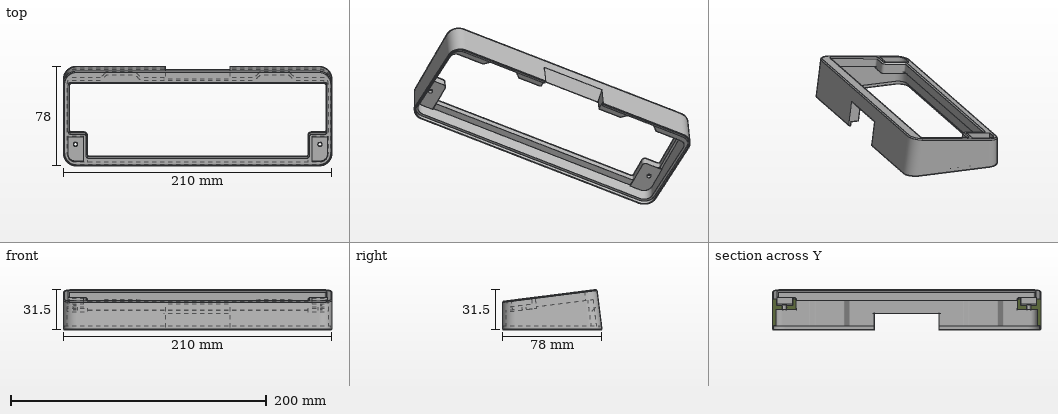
import cadquery as cq
import math

LENGTH = 210.0
DEPTH = 78.0
HEIGHT = 31.5
TILT = 7.2
CORNER_RADIUS = 10.0
TOP_CHAMFER = 0.95
BOTTOM_CHAMFER = 0.6

SIDE_WALL = 3.0
REAR_WALL = 8.2
CAVITY_REAR_RADIUS = 5.0
RIM_THICKNESS = 7.5

REBATE_HEIGHT = 3.2
REBATE_LIP = 1.0
REBATE_REAR_LIP = 2.0

OPENING_LENGTH = 200.4
OPENING_REAR = 9.9
OPENING_FRONT = 67.6
OPENING_RADIUS = 1.3
OPENING_CHAMFER = 1.0

PAD_INNER_X = 86.3
PAD_REAR = 48.7
PAD_THICKNESS = 8.8
PAD_RADIUS = 2.5
TRAY_OUTER_X = 101.5
TRAY_INNER_X = 89.3
TRAY_REAR = 51.7
TRAY_FRONT = 71.2
TRAY_DEPTH = 5.0
TRAY_RADIUS = 5.3
SCREW_X = 95.5
SCREW_REAR = 58.4
SCREW_DIAMETER = 3.2

NOTCH_WIDTH = 50.5
NOTCH_INNER_HEIGHT = 12.5
NOTCH_OUTER_HEIGHT = 20.2
RECESS_CENTRE_X = 60.0
RECESS_WIDTH = 31.0
RECESS_DEPTH = 4.2
REAR_EDGE_RADIUS = 1.0

TOUCHING = 0.02
REACH = 126.0
tilt = math.radians(TILT)
front_y = -DEPTH / 2
rear_y = DEPTH / 2

sharp_rear_y = rear_y + BOTTOM_CHAMFER * math.tan(tilt)
edge_z = HEIGHT + TOP_CHAMFER * math.sin(tilt)
edge_y = sharp_rear_y - edge_z * math.tan(tilt)
top_frame = cq.Plane(
    origin=(0, edge_y, edge_z),
    xDir=(1, 0, 0),
    normal=(0, -math.sin(tilt), math.cos(tilt)),
)
square_to_top = cq.selectors.ParallelDirSelector(top_frame.zDir)
top_face = cq.selectors.DirectionMinMaxSelector(top_frame.zDir)


def block(plane, x_range, y_range, height):
    """Box raised (or sunk, if height is negative) on a plane between two X and two Y values."""
    x0, x1 = x_range
    y0, y1 = y_range
    sketch = cq.Workplane(plane).center((x0 + x1) / 2, (y0 + y1) / 2)
    return sketch.rect(abs(x1 - x0), abs(y1 - y0)).extrude(height)


def leaning_body(side, rear, front_radius, rear_radius, top_depth):
    """Body shape with its walls inset, from top_depth below the top down to Z = 0."""
    sides = (side - LENGTH / 2, LENGTH / 2 - side)
    upright = block(cq.Plane.XY(), sides, (front_y + side, REACH), REACH)
    upright = upright.edges("|Z and <Y").fillet(front_radius)
    leaning = block(top_frame, sides, (-REACH, -rear), -REACH)
    leaning = leaning.edges(square_to_top).edges(">Y").fillet(rear_radius)
    leaning = leaning.translate(top_frame.zDir * -top_depth)
    return upright.intersect(leaning)


def make_outside():
    outside = leaning_body(0, 0, CORNER_RADIUS, CORNER_RADIUS, 0)
    outside = outside.faces(top_face).edges().chamfer(TOP_CHAMFER)
    return outside.faces("<Z").edges().chamfer(BOTTOM_CHAMFER)


def make_cavity():
    """Hollow under the rim, leaving the thicker pads standing in the front corners."""
    front_radius = CORNER_RADIUS - SIDE_WALL
    cavity = leaning_body(SIDE_WALL, REAR_WALL, front_radius, CAVITY_REAR_RADIUS, RIM_THICKNESS)
    for side in (-1, 1):
        pad_x = (side * PAD_INNER_X, side * REACH)
        cavity = cavity.cut(block(top_frame, pad_x, (-REACH, -PAD_REAR), -PAD_THICKNESS))
    return cavity


def make_rebate():
    radius = CORNER_RADIUS - REBATE_LIP
    rebate = leaning_body(REBATE_LIP, REBATE_REAR_LIP, radius, radius, RIM_THICKNESS)
    return rebate.intersect(block(cq.Plane.XY(), (-REACH, REACH), (-REACH, REACH), REBATE_HEIGHT))


def make_opening():
    """Opening through the rim, stepped around the pads, with a chamfer around its top edge."""
    half = OPENING_LENGTH / 2
    depth = 2 * PAD_THICKNESS
    wide = block(top_frame, (-half, half), (-PAD_REAR, -OPENING_REAR), -depth)
    narrow = block(top_frame, (-PAD_INNER_X, PAD_INNER_X), (-OPENING_FRONT, -OPENING_REAR), -depth)
    wide = wide.edges(square_to_top).fillet(OPENING_RADIUS)
    narrow = narrow.edges(square_to_top).edges("<Y").fillet(OPENING_RADIUS)
    opening = wide.union(narrow)
    pad_corners = (
        opening.edges(square_to_top)
        .filter(lambda edge: abs(abs(edge.Center().x) - PAD_INNER_X) < TOUCHING)
        .edges(">Y")
    )
    opening = pad_corners.fillet(PAD_RADIUS)
    outline = opening.faces(top_face).wires().toPending()
    bevel = outline.offset2D(OPENING_CHAMFER).extrude(-OPENING_CHAMFER, combine=False, taper=45)
    return opening.union(bevel)


def make_tray(side):
    """Sunken tray with its screw hole; side is -1 for the left pad and 1 for the right."""
    tray_x = (side * TRAY_INNER_X, side * TRAY_OUTER_X)
    tray = block(top_frame, tray_x, (-TRAY_FRONT, -TRAY_REAR), -TRAY_DEPTH)
    outer_edge = ">X" if side > 0 else "<X"
    tray = tray.edges(square_to_top).edges("<Y").edges(outer_edge).fillet(TRAY_RADIUS)
    screw = cq.Workplane(top_frame).center(side * SCREW_X, -SCREW_REAR)
    return tray.union(screw.circle(SCREW_DIAMETER / 2).extrude(-2 * PAD_THICKNESS))


def make_notch():
    """Cable notch through the foot of the rear wall, its roof rising outwards."""
    inner_y = sharp_rear_y - REAR_WALL / math.cos(tilt) - NOTCH_INNER_HEIGHT * math.tan(tilt)
    outer_y = sharp_rear_y - NOTCH_OUTER_HEIGHT * math.tan(tilt)
    return (
        cq.Workplane("YZ")
        .moveTo(0, 0)
        .lineTo(0, NOTCH_INNER_HEIGHT)
        .lineTo(inner_y, NOTCH_INNER_HEIGHT)
        .lineTo(outer_y, NOTCH_OUTER_HEIGHT)
        .lineTo(REACH, NOTCH_OUTER_HEIGHT)
        .lineTo(REACH, 0)
        .close()
        .extrude(NOTCH_WIDTH / 2, both=True)
    )


def make_recess(side):
    """Recess in the inside of the rear wall, below the rim, with 45 degree ends."""
    half = RECESS_WIDTH / 2
    floor_half = half - RECESS_DEPTH
    recess = (
        cq.Workplane(top_frame)
        .center(side * RECESS_CENTRE_X, -REAR_WALL)
        .polyline([(-half, 0), (-floor_half, RECESS_DEPTH), (floor_half, RECESS_DEPTH), (half, 0)])
        .close()
        .extrude(-REACH)
    )
    return recess.translate(top_frame.zDir * -RIM_THICKNESS)


def round_rear_edges(body):
    """Round the upright recess and notch edges, leaving the notch sharp on the outside."""
    inner_zone = cq.selectors.BoxSelector(
        (-PAD_INNER_X, 0, 0), (PAD_INNER_X, rear_y - REBATE_REAR_LIP, HEIGHT)
    )
    return body.edges(square_to_top).edges(inner_zone).fillet(REAR_EDGE_RADIUS)


result = make_outside().cut(make_cavity()).cut(make_rebate())
for side in (-1, 1):
    result = result.cut(make_recess(side))
result = round_rear_edges(result.cut(make_notch()))
result = result.cut(make_opening())
for side in (-1, 1):
    result = result.cut(make_tray(side))